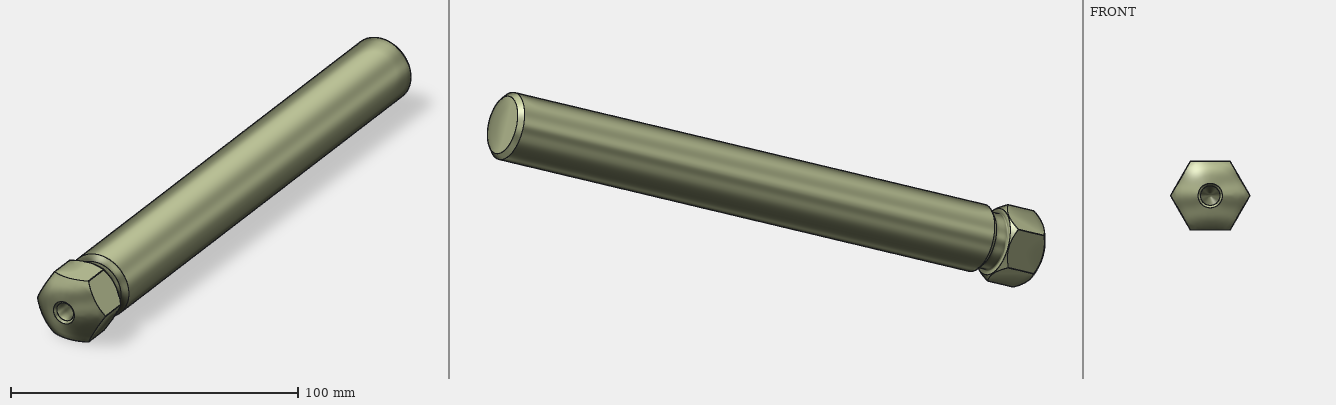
import cadquery as cq
import math

overall_length = 216.98

head_sides = 6
across_flats = 24.0
head_corner_diameter = 27.6
head_length = 17.5
dome_radius = 20.0
head_bearing_radius = 11.8

shank_radius = 12.0
neck_radius = 10.0
neck_length = 4.5
neck_fillet = 0.5
shank_chamfer = 1.75

hole_rim_radius = 4.25
bore_radius = 3.4
countersink_angle = 90.0
bore_depth = 10.0
drill_point_angle = 118.0


def sphere_drop(radius):
    """Axial distance from the dome's apex to its circle of the given radius."""
    return dome_radius - math.sqrt(dome_radius**2 - radius**2)


def revolve_about_axis(profile):
    """Turn a closed XY profile about the Y axis."""
    return profile.revolve(360, (0, 0, 0), (0, 1, 0))


apex_y = -sphere_drop(hole_rim_radius)
neck_end_y = head_length + neck_length


def make_head():
    corner_radius = head_corner_diameter / 2
    dome_edge_y = apex_y + sphere_drop(corner_radius)
    dome_middle_radius = corner_radius / 2
    dome_middle_y = apex_y + sphere_drop(dome_middle_radius)
    bearing_chamfer = corner_radius - head_bearing_radius

    turned_blank = revolve_about_axis(
        cq.Workplane("XY")
        .moveTo(0, apex_y)
        .threePointArc((dome_middle_radius, dome_middle_y), (corner_radius, dome_edge_y))
        .lineTo(corner_radius, head_length - bearing_chamfer)
        .lineTo(head_bearing_radius, head_length)
        .lineTo(0, head_length)
        .close()
    )
    hexagon = (
        cq.Workplane("XZ", origin=(0, apex_y, 0))
        .polygon(head_sides, across_flats / math.cos(math.pi / head_sides))
        .extrude(-(head_length - apex_y))
    )
    return turned_blank.intersect(hexagon)


def make_neck_and_shank():
    shoulder_chamfer = shank_radius - neck_radius
    return revolve_about_axis(
        cq.Workplane("XY")
        .moveTo(0, head_length)
        .lineTo(neck_radius + neck_fillet, head_length)
        .radiusArc((neck_radius, head_length + neck_fillet), neck_fillet)
        .lineTo(neck_radius, neck_end_y)
        .lineTo(shank_radius, neck_end_y + shoulder_chamfer)
        .lineTo(shank_radius, overall_length - shank_chamfer)
        .lineTo(shank_radius - shank_chamfer, overall_length)
        .lineTo(0, overall_length)
        .close()
    )


def make_centre_hole():
    half_countersink = math.radians(countersink_angle / 2)
    countersink_depth = (hole_rim_radius - bore_radius) / math.tan(half_countersink)
    drill_point_depth = bore_radius / math.tan(math.radians(drill_point_angle / 2))
    return revolve_about_axis(
        cq.Workplane("XY")
        .moveTo(0, apex_y)
        .lineTo(hole_rim_radius, apex_y)
        .lineTo(hole_rim_radius, 0)
        .lineTo(bore_radius, countersink_depth)
        .lineTo(bore_radius, bore_depth)
        .lineTo(0, bore_depth + drill_point_depth)
        .close()
    )


result = make_head().union(make_neck_and_shank()).cut(make_centre_hole())